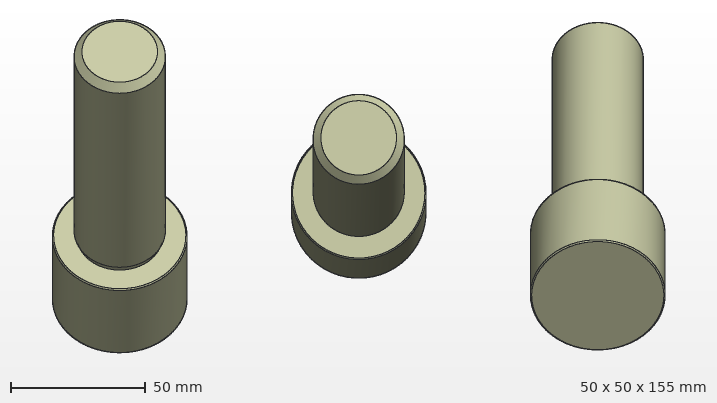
import cadquery as cq

total_height = 155.0
head_diameter = 50.0
head_height = 40.0
head_chamfer = 0.5

shank_diameter = 34.0
groove_diameter = 32.0
groove_height = 3.1
tip_chamfer = 3.0


def cylinder(diameter, bottom, top):
    """Upright cylinder on the Z axis between two heights."""
    return cq.Workplane("XY").workplane(offset=bottom).circle(diameter / 2).extrude(top - bottom)


shank_bottom = head_height + groove_height

head = cylinder(head_diameter, 0, head_height).edges().chamfer(head_chamfer)
groove_core = cylinder(groove_diameter, head_height, shank_bottom)
shank = cylinder(shank_diameter, shank_bottom, total_height).faces(">Z").edges().chamfer(tip_chamfer)

result = head.union(groove_core).union(shank)